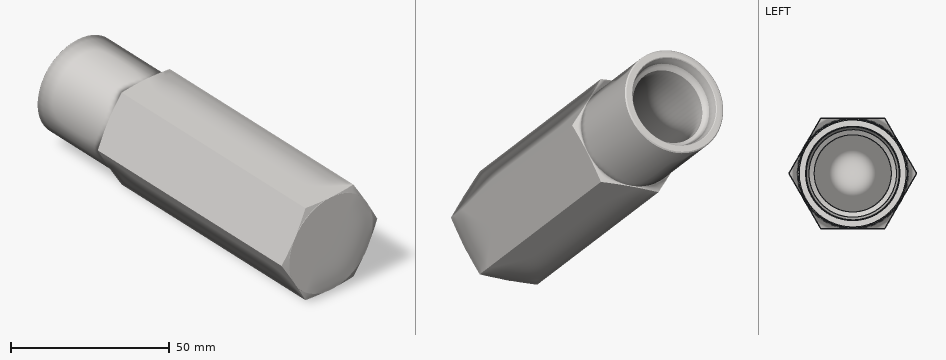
import cadquery as cq
import math

length = 120.6
hex_sides = 6
across_flats = 35.0
collar_diameter = 35.1
collar_length = 0.1
spigot_diameter = 34.5
spigot_length = 31.7
spigot_chamfer = 0.4
corner_chamfer_angle = 14.0

mouth_diameter = 29.8
mouth_depth = 3.4
mouth_chamfer = 0.2
seat_diameter = 27.6
bore_diameter = 24.4
seat_depth = (seat_diameter - bore_diameter) / 2
bore_depth = 60.3

across_corners = across_flats / math.cos(math.pi / hex_sides)
corner_run = (across_corners - collar_diameter) / 2 * math.tan(math.radians(corner_chamfer_angle))
hex_end = length - collar_length


def revolve_about_x(points):
    """Solid of revolution from an (x, radius) outline."""
    return cq.Workplane("XY").polyline(points).close().revolve(360, (0, 0, 0), (1, 0, 0))


def hex_body():
    """Hexagon with corners on +Y and -Y and both ends turned to a cone."""
    prism = (
        cq.Workplane("YZ", origin=(spigot_length, 0, 0))
        .polygon(hex_sides, across_corners)
        .extrude(hex_end - spigot_length)
    )
    turned_envelope = revolve_about_x([
        (spigot_length, 0),
        (spigot_length, collar_diameter / 2),
        (spigot_length + corner_run, across_corners / 2),
        (hex_end - corner_run, across_corners / 2),
        (hex_end, collar_diameter / 2),
        (hex_end, 0),
    ])
    return prism.intersect(turned_envelope)


def spigot():
    """Round end with a small chamfer on its rim."""
    radius = spigot_diameter / 2
    return revolve_about_x([
        (0, 0),
        (0, radius - spigot_chamfer),
        (spigot_chamfer, radius),
        (spigot_length, radius),
        (spigot_length, 0),
    ])


def collar():
    """Thin turned face closing the far end of the hexagon."""
    return cq.Workplane("YZ", origin=(hex_end, 0, 0)).circle(collar_diameter / 2).extrude(collar_length)


def socket():
    """Chamfered and tapered mouth, conical seat and flat-bottomed bore."""
    return revolve_about_x([
        (0, 0),
        (0, mouth_diameter / 2),
        (mouth_chamfer, mouth_diameter / 2 - mouth_chamfer),
        (mouth_depth, seat_diameter / 2),
        (mouth_depth + seat_depth, bore_diameter / 2),
        (bore_depth, bore_diameter / 2),
        (bore_depth, 0),
    ])


result = hex_body().union(spigot()).union(collar()).cut(socket())